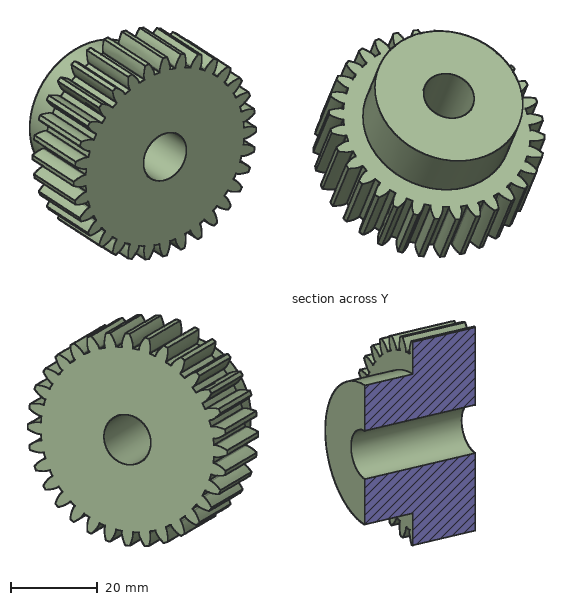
import math

import cadquery as cq

outer_diameter = 51.0
tooth_count = 32
pressure_angle = math.radians(20)
dedendum_factor = 1.25
face_width = 17.0
hub_diameter = 35.0
hub_length = 13.0
bore_diameter = 12.0
flank_steps = 8

module = outer_diameter / (tooth_count + 2)
pitch_radius = module * tooth_count / 2
outer_radius = outer_diameter / 2
root_radius = pitch_radius - dedendum_factor * module
base_radius = pitch_radius * math.cos(pressure_angle)

total_length = hub_length + face_width
hub_end_x = -total_length / 2
rim_start_x = hub_end_x + hub_length


def involute(angle):
    return math.tan(angle) - angle


base_half_angle = math.pi / (2 * tooth_count) + involute(pressure_angle)


def polar(radius, angle):
    return (radius * math.cos(angle), radius * math.sin(angle))


def flank_point(radius, tooth_angle, side):
    """Point on an involute flank; side is -1 or +1 about the tooth's centre line."""
    flank_pressure_angle = math.acos(base_radius / radius)
    half_angle = base_half_angle - involute(flank_pressure_angle)
    return polar(radius, tooth_angle + side * half_angle)


def flank_points(tooth_angle, side):
    """Points along one flank, from the base circle out to the tip."""
    rise = (outer_radius - base_radius) / flank_steps
    radii = [base_radius + step * rise for step in range(flank_steps)] + [outer_radius]
    return [flank_point(radius, tooth_angle, side) for radius in radii]


def make_rim():
    """Spur gear rim: involute flanks, radial below the base circle."""
    pitch_angle = 2 * math.pi / tooth_count
    outline = cq.Workplane("YZ", origin=(rim_start_x, 0, 0))
    outline = outline.moveTo(*polar(root_radius, -base_half_angle))
    for tooth in range(tooth_count):
        tooth_angle = tooth * pitch_angle
        rising = flank_points(tooth_angle, -1)
        falling = flank_points(tooth_angle, 1)[::-1]
        next_root = polar(root_radius, tooth_angle + pitch_angle - base_half_angle)
        outline = (
            outline.lineTo(*rising[0])
            .spline(rising[1:], includeCurrent=True)
            .threePointArc(polar(outer_radius, tooth_angle), falling[0])
            .spline(falling[1:], includeCurrent=True)
            .lineTo(*polar(root_radius, tooth_angle + base_half_angle))
            .threePointArc(polar(root_radius, tooth_angle + pitch_angle / 2), next_root)
        )
    return outline.close().extrude(face_width)


def make_cylinder(diameter, length):
    """Cylinder along X, starting at the hub's free end."""
    return cq.Workplane("YZ", origin=(hub_end_x, 0, 0)).circle(diameter / 2).extrude(length)


hub = make_cylinder(hub_diameter, hub_length)
bore = make_cylinder(bore_diameter, total_length)
result = make_rim().union(hub).cut(bore)